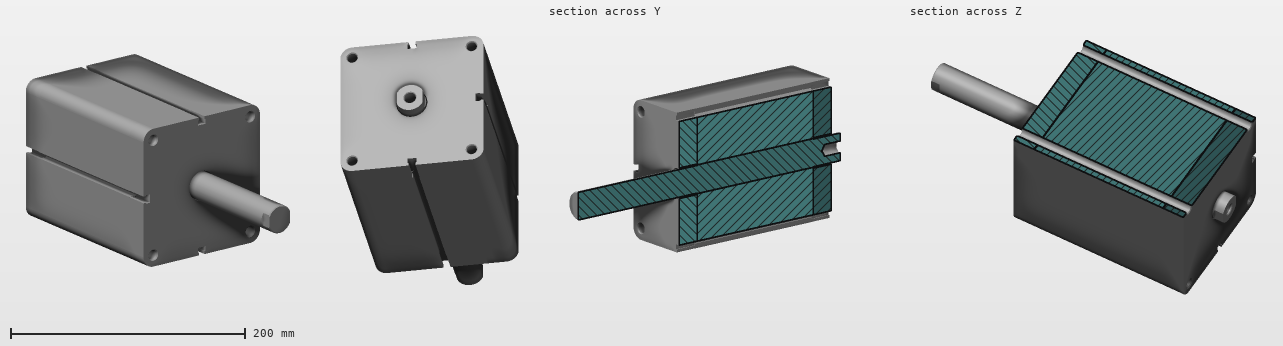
import cadquery as cq
import math

housing_length = 166.7
housing_width = 124.0
corner_radius = 10.3
cap_length = 19.8
tube_length = housing_length - 2 * cap_length

bolt_hole_diameter = 8.5
bolt_countersink_diameter = 10.3
bolt_countersink_depth = (bolt_countersink_diameter - bolt_hole_diameter) / 2
bolt_offset = housing_width / 2 - corner_radius

slot_depth = 7.0
cap_slot_mouth = 6.0
cap_slot_undercut = 7.7
cap_slot_lip = 2.5
tube_slot_mouth = 5.5
tube_slot_undercut = 7.7
tube_slot_lip = 4.3
tube_slot_corner = 1.7
slot_angles = (0, 90, 180)

rod_diameter = 25.0
rod_length = 287.0
rod_rear_reach = 9.8
rod_front_chamfer = 1.0
cap_bore_diameter = 26.7

flat_width = 22.0
flat_length = 8.5
flat_runout = 0.5

rod_hole_diameter = 10.0
rod_hole_mouth_diameter = 11.5
rod_hole_depth = 17.2
drill_point_angle = 118

rear_cap_start = 0.0
tube_start = cap_length
front_cap_start = housing_length - cap_length
rod_start = -rod_rear_reach
rod_end = rod_start + rod_length


def cross_section(x):
    """Workplane across the axis: local x is +Y, local y is +Z, normal is +X."""
    return cq.Workplane("YZ", origin=(x, 0, 0))


def slot_cutter(x, length, mouth, undercut, lip, corner=0):
    """Sensor slot opening at the top face, with chamfered bottom corners if corner > 0."""
    top = housing_width / 2
    floor = top - slot_depth
    right_side = [(mouth / 2, top), (mouth / 2, top - lip), (undercut / 2, top - lip)]
    if corner > 0:
        right_side += [(undercut / 2, floor + corner), (undercut / 2 - corner, floor)]
    else:
        right_side += [(undercut / 2, floor)]
    left_side = [(-y, z) for y, z in reversed(right_side)]
    return cross_section(x).polyline(right_side + left_side).close().extrude(length)


def make_section(x, length, bore_diameter, slot):
    """One housing section: rounded square with a rod bore, four bolt holes and three slots."""
    block = cross_section(x).rect(housing_width, housing_width).extrude(length)
    block = block.edges("|X").fillet(corner_radius)
    bore = cross_section(x).circle(bore_diameter / 2).extrude(length)
    bolt_holes = (
        cross_section(x)
        .rect(2 * bolt_offset, 2 * bolt_offset, forConstruction=True)
        .vertices()
        .circle(bolt_hole_diameter / 2)
        .extrude(length)
    )
    block = block.cut(bore).cut(bolt_holes)
    for angle in slot_angles:
        block = block.cut(slot.rotate((0, 0, 0), (1, 0, 0), angle))
    return block


def make_cap(x, outer_face):
    slot = slot_cutter(x, cap_length, cap_slot_mouth, cap_slot_undercut, cap_slot_lip)
    cap = make_section(x, cap_length, cap_bore_diameter, slot)
    bolt_rims = cap.faces(outer_face).edges(cq.selectors.RadiusNthSelector(0))
    return bolt_rims.chamfer(bolt_countersink_depth)


def make_tube():
    slot = slot_cutter(
        tube_start, tube_length, tube_slot_mouth, tube_slot_undercut, tube_slot_lip, tube_slot_corner
    )
    return make_section(tube_start, tube_length, rod_diameter, slot)


def flat_cutter(end_x, inward, side):
    """Cutter for one wrench flat; inward is the X direction into the rod, side the sign of Y."""
    inner_y = side * flat_width / 2
    outer_y = side * rod_diameter / 2
    floor_end = end_x + inward * flat_length
    runout_end = floor_end + inward * flat_runout
    profile = [(end_x, inner_y), (floor_end, inner_y), (runout_end, outer_y), (end_x, outer_y)]
    return cq.Workplane("XY").polyline(profile).close().extrude(rod_diameter / 2, both=True)


def rod_hole_cutter():
    """Blind hole along X with a 45 degree countersunk mouth and a conical bottom."""
    radius = rod_hole_diameter / 2
    mouth_radius = rod_hole_mouth_diameter / 2
    mouth_end = rod_start + mouth_radius - radius
    cone_length = radius / math.tan(math.radians(drill_point_angle / 2))
    bottom = rod_start + rod_hole_depth
    profile = [
        (rod_start, 0),
        (rod_start, mouth_radius),
        (mouth_end, radius),
        (bottom, radius),
        (bottom + cone_length, 0),
    ]
    return cq.Workplane("XY").polyline(profile).close().revolve(360, (0, 0, 0), (1, 0, 0))


def make_rod():
    rod = cross_section(rod_start).circle(rod_diameter / 2).extrude(rod_length)
    rod = rod.faces(">X").chamfer(rod_front_chamfer)
    for end_x, inward in ((rod_start, 1), (rod_end, -1)):
        for side in (1, -1):
            rod = rod.cut(flat_cutter(end_x, inward, side))
    return rod.cut(rod_hole_cutter())


cap_places = ((rear_cap_start, "<X"), (front_cap_start, ">X"))
caps = [make_cap(x, outer_face) for x, outer_face in cap_places]
tube = make_tube()
rod = make_rod()

result = cq.Compound.makeCompound([tube.val(), rod.val(), *[cap.val() for cap in caps]])